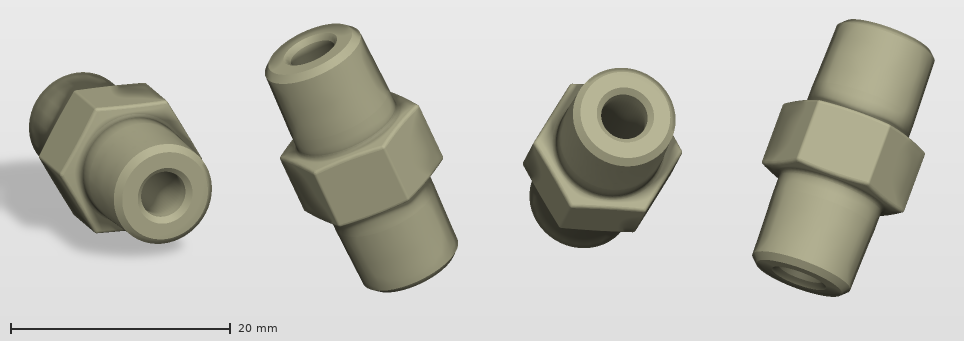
import cadquery as cq
import math

length = 24.0
half_length = length / 2

across_flats = 12.0
across_corners = across_flats / math.cos(math.radians(30))
hex_foot_half_width = 3.35
hex_side_slope = 10.0
edge_radius = 0.3

collar_diameter = 9.9
collar_radius = collar_diameter / 2
taper_length = 6.65
taper_per_side = 1 / 32
end_chamfer = 0.6

bore_diameter = 4.3
bore_chamfer = 0.5


def make_hexagon():
    """Hexagonal prism with conical sides and rounded edges."""
    prism = (
        cq.Workplane("YZ")
        .polygon(6, across_corners)
        .extrude(hex_foot_half_width, both=True)
        .edges("|X")
        .fillet(edge_radius)
    )
    outer_radius = across_corners
    side_setback = (outer_radius - collar_radius) * math.tan(math.radians(hex_side_slope))
    outer_half_width = hex_foot_half_width - side_setback
    cone_envelope = (
        cq.Workplane("XY")
        .moveTo(-hex_foot_half_width, 0)
        .lineTo(-hex_foot_half_width, collar_radius)
        .lineTo(-outer_half_width, outer_radius)
        .lineTo(outer_half_width, outer_radius)
        .lineTo(hex_foot_half_width, collar_radius)
        .lineTo(hex_foot_half_width, 0)
        .close()
        .revolve(360, (0, 0, 0), (1, 0, 0))
    )
    hexagon = prism.intersect(cone_envelope)
    rims = hexagon.faces("%CONE").edges("not %CIRCLE")
    return rims.fillet(edge_radius)


def make_spigots():
    """Solid round body with a collar in the middle and a chamfered taper at each end."""
    taper_start = half_length - taper_length
    chamfer_start = half_length - end_chamfer
    small_radius = collar_radius - (taper_length - end_chamfer) * taper_per_side
    tip_radius = small_radius - end_chamfer
    return (
        cq.Workplane("XY")
        .moveTo(-half_length, 0)
        .lineTo(-half_length, tip_radius)
        .lineTo(-chamfer_start, small_radius)
        .lineTo(-taper_start, collar_radius)
        .lineTo(taper_start, collar_radius)
        .lineTo(chamfer_start, small_radius)
        .lineTo(half_length, tip_radius)
        .lineTo(half_length, 0)
        .close()
        .revolve(360, (0, 0, 0), (1, 0, 0))
    )


def round_hexagon_foot(body):
    """Fillet the two circles where the hexagon sides meet the collar."""
    margin = 0.02
    reach = hex_foot_half_width + margin
    middle_zone = cq.selectors.BoxSelector(
        (-reach, -across_corners, -across_corners),
        (reach, across_corners, across_corners),
    )
    foot_circles = body.edges("%CIRCLE").edges(middle_zone)
    return foot_circles.fillet(edge_radius)


def make_bore():
    """Through bore, chamfered at both mouths."""
    bore_radius = bore_diameter / 2
    mouth_radius = bore_radius + bore_chamfer
    chamfer_start = half_length - bore_chamfer
    return (
        cq.Workplane("XY")
        .moveTo(-half_length, 0)
        .lineTo(-half_length, mouth_radius)
        .lineTo(-chamfer_start, bore_radius)
        .lineTo(chamfer_start, bore_radius)
        .lineTo(half_length, mouth_radius)
        .lineTo(half_length, 0)
        .close()
        .revolve(360, (0, 0, 0), (1, 0, 0))
    )


body = round_hexagon_foot(make_spigots().union(make_hexagon()))
result = body.cut(make_bore())